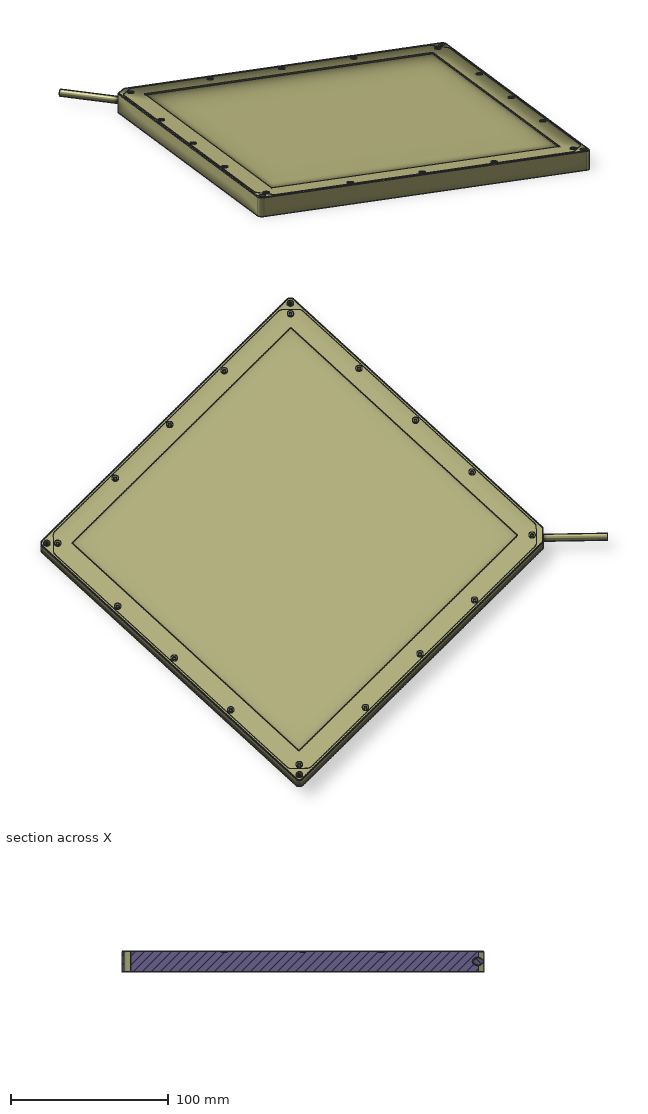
import cadquery as cq
import math

CABLE_DIAMETER = 4.5
CABLE_CORNER_DISTANCE = 36.0
CABLE_HOLE_DIAMETER = 5.5
CABLE_HOLE_DEPTH = 5.1

OVERALL_LENGTH = 257.0
HOUSING_HEIGHT = 13.0
HOUSING_CORNER_RADIUS = 3.0
CUT_CORNER_LEG = 7.0
CUT_CORNER_RADIUS = 1.3
TOP_EDGE_CHAMFER = 0.5

PANEL_INSET = 1.8
PANEL_DROP = 0.13
PANEL_CORNER_LEG = 9.5
PANEL_CORNER_RADIUS = 4.0
WINDOW_SIDE = 200.0
WINDOW_DEPTH = 1.0

MOUNTING_HOLE_DIAMETER = 4.0
MOUNTING_HOLE_EDGE_DISTANCE = 3.5

SCREW_HEAD_DIAMETER = 4.0
SCREW_HEAD_DEPTH = 0.5
SCREW_HOLE_DIAMETER = 2.0
SCREW_HOLE_DEPTH = 2.0
SIDE_SCREW_EDGE_DISTANCE = 4.5
SIDE_SCREW_SPACING = 50.0
CORNER_SCREW_EDGE_DISTANCE = 8.5

diagonal_step = math.sqrt(0.5)
cable_overhang = (CABLE_CORNER_DISTANCE + CABLE_DIAMETER / 2) * diagonal_step
housing_side = OVERALL_LENGTH - cable_overhang
half_side = housing_side / 2
panel_side = housing_side - 2 * PANEL_INSET
panel_level = HOUSING_HEIGHT - PANEL_DROP

cut_face_distance = -CUT_CORNER_LEG * diagonal_step
cable_root_distance = cut_face_distance - CABLE_HOLE_DEPTH
cable_length = CABLE_CORNER_DISTANCE - cable_root_distance


def make_slab():
    """Square slab with rounded corners, one cut corner and a chamfered top edge."""
    cut_corner_reach = CUT_CORNER_LEG + HOUSING_CORNER_RADIUS
    cut_corner_box = cq.selectors.BoxSelector(
        (-half_side, -half_side, 0),
        (cut_corner_reach - half_side, cut_corner_reach - half_side, HOUSING_HEIGHT),
    )
    return (
        cq.Workplane("XY")
        .rect(housing_side, housing_side)
        .extrude(HOUSING_HEIGHT)
        .edges("|Z and (>X or >Y)")
        .fillet(HOUSING_CORNER_RADIUS)
        .edges("|Z and <X and <Y")
        .chamfer(CUT_CORNER_LEG)
        .edges("|Z")
        .edges(cut_corner_box)
        .fillet(CUT_CORNER_RADIUS)
        .faces(">Z")
        .chamfer(TOP_EDGE_CHAMFER)
    )


def panel_recess():
    """Shallow recess whose square outline has its corners cut off and blended."""
    return (
        cq.Workplane("XY")
        .workplane(offset=panel_level)
        .rect(panel_side, panel_side)
        .extrude(PANEL_DROP)
        .edges("|Z")
        .chamfer(PANEL_CORNER_LEG)
        .edges("|Z")
        .fillet(PANEL_CORNER_RADIUS)
    )


def window_recess():
    """Square recess in the middle of the panel."""
    return (
        cq.Workplane("XY")
        .workplane(offset=panel_level)
        .rect(WINDOW_SIDE, WINDOW_SIDE)
        .extrude(-WINDOW_DEPTH)
    )


def mounting_holes():
    """Through holes in every corner except the one with the cable."""
    offset = half_side - MOUNTING_HOLE_EDGE_DISTANCE
    return (
        cq.Workplane("XY")
        .pushPoints([(-offset, offset), (offset, offset), (offset, -offset)])
        .circle(MOUNTING_HOLE_DIAMETER / 2)
        .extrude(HOUSING_HEIGHT)
    )


def screw_points():
    """Plan positions of all the screw holes."""
    side_offset = half_side - SIDE_SCREW_EDGE_DISTANCE
    corner_offset = half_side - CORNER_SCREW_EDGE_DISTANCE
    points = []
    for sign in (-1, 1):
        for step in (-1, 0, 1):
            points.append((step * SIDE_SCREW_SPACING, sign * side_offset))
            points.append((sign * side_offset, step * SIDE_SCREW_SPACING))
        for other_sign in (-1, 1):
            points.append((sign * corner_offset, other_sign * corner_offset))
    return points


def panel_bores(diameter, depth):
    """Round bores of one size, sunk from the panel at every screw position."""
    return (
        cq.Workplane("XY")
        .workplane(offset=panel_level)
        .pushPoints(screw_points())
        .circle(diameter / 2)
        .extrude(-depth)
    )


def cable_axis_cylinder(diameter, length):
    """Cylinder on the cable axis that starts at the bottom of the cable hole."""
    root = -half_side - cable_root_distance * diagonal_step
    axis = cq.Plane(
        origin=(root, root, HOUSING_HEIGHT / 2),
        xDir=(0, 0, 1),
        normal=(-1, -1, 0),
    )
    return cq.Workplane(axis).circle(diameter / 2).extrude(length)


def make_housing():
    """Slab with the panel, the window and all the holes."""
    return (
        make_slab()
        .cut(panel_recess())
        .cut(window_recess())
        .cut(mounting_holes())
        .cut(panel_bores(SCREW_HEAD_DIAMETER, SCREW_HEAD_DEPTH))
        .cut(panel_bores(SCREW_HOLE_DIAMETER, SCREW_HOLE_DEPTH))
        .cut(cable_axis_cylinder(CABLE_HOLE_DIAMETER, CABLE_HOLE_DEPTH))
    )


def make_cable():
    """Straight round cable standing on the bottom of its clearance hole."""
    return cable_axis_cylinder(CABLE_DIAMETER, cable_length)


housing = make_housing()
cable = make_cable()

result = cq.Compound.makeCompound([housing.val(), cable.val()])